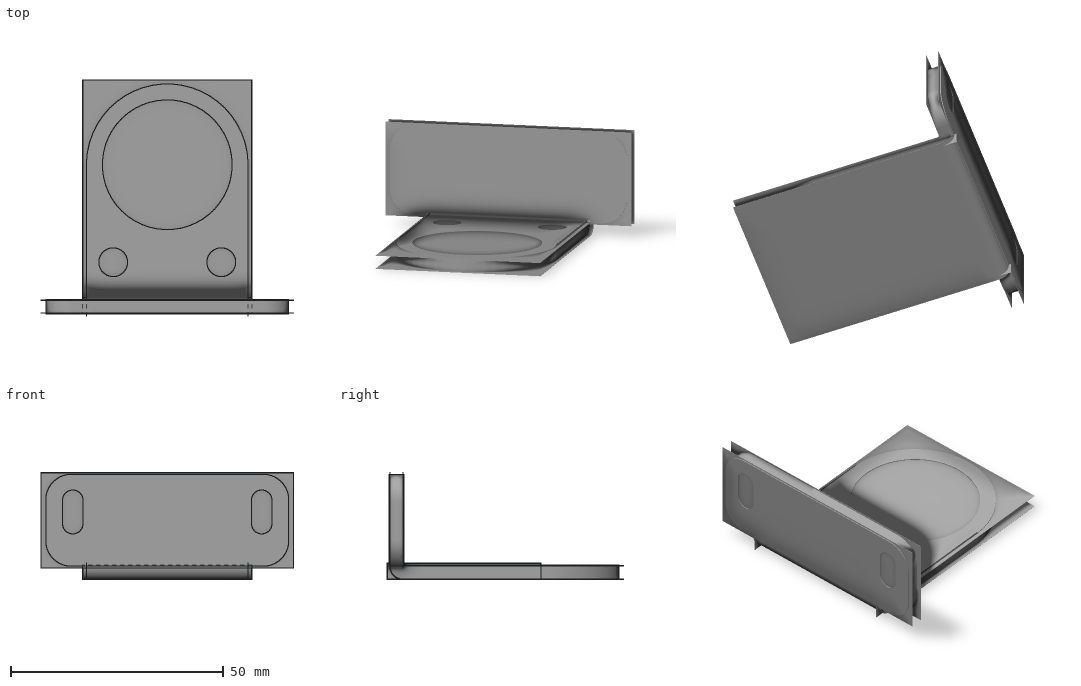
import cadquery as cq

overall_width = 59.45
overall_depth = 55.6
overall_height = 25.15
sheet = 0.05
proud = 0.2

upright_front = 0.5
upright_back = 3.9
upright_width = 57.2
upright_height = 21.65
upright_corner = 6.0
upright_skin_height = 22.45
upright_middle = overall_height - upright_skin_height / 2
slot_width = 4.8
slot_height = 10.35
slot_offset = 22.25
slot_middle = 15.9

arm_skin_width = 39.8
arm_skin_top = 3.2
arm_radius = 19.0
arm_center_y = 35.6
arm_top = arm_skin_top + proud
outer_bend = 3.0
inner_bend = 0.5
disc_radius = 15.3
magnet_radius = 3.4
magnet_offset = 12.7
magnet_y = 12.65

fin_length = 36.2
fin_height = 3.8

skin_front = upright_front + proud
skin_back = upright_back - proud


def block(width, y_min, y_max, z_min, z_max):
    """Box centred on X = 0."""
    size = (width, y_max - y_min, z_max - z_min)
    return cq.Workplane("XY").box(*size, centered=(True, False, False)).translate((0, y_min, z_min))


def upright_plate():
    plate = block(
        upright_width, upright_front, upright_back,
        upright_middle - upright_height / 2, upright_middle + upright_height / 2,
    ).edges("|Y").fillet(upright_corner)
    for y in (skin_front, skin_back - sheet):
        skin = block(overall_width, y, y + sheet, overall_height - upright_skin_height, overall_height)
        plate = plate.union(skin)
    slots = (
        cq.Workplane("XZ", origin=(0, skin_front, 0))
        .pushPoints([(-slot_offset, slot_middle), (slot_offset, slot_middle)])
        .slot2D(slot_height, slot_width, 90)
        .extrude(proud)
    )
    return plate.cut(slots)


def arm():
    body = block(2 * arm_radius, skin_front, arm_center_y, 0, arm_skin_top)
    round_end = cq.Workplane("XY").center(0, arm_center_y).circle(arm_radius).extrude(arm_top)
    rear_body = block(2 * arm_radius, skin_back, arm_center_y, 0, arm_top)
    body = body.union(rear_body).union(round_end)
    for z in (0, arm_skin_top - sheet):
        body = body.union(block(arm_skin_width, skin_front, overall_depth, z, z + sheet))
    recesses = (
        cq.Workplane("XY", origin=(0, 0, arm_skin_top))
        .center(0, arm_center_y).circle(disc_radius).extrude(proud)
    )
    for x in (-magnet_offset, magnet_offset):
        magnet = cq.Workplane("XY", origin=(x, magnet_y, arm_skin_top)).circle(magnet_radius).extrude(proud)
        recesses = recesses.union(magnet)
    return body.cut(recesses)


def bend_block(width, inset):
    """Corner block with a rounded lower front edge, inset from the outer surface."""
    corner = block(width, skin_front + inset, upright_back, inset, arm_top)
    return corner.faces("<Y").edges("<Z").fillet(outer_bend - inset)


def bend():
    """Rounded corner, its wider curved skin and the small inner fillet at the upright."""
    core = bend_block(2 * arm_radius, 0)
    skin = bend_block(arm_skin_width, 0).cut(bend_block(arm_skin_width, sheet))
    inner = (
        cq.Workplane("YZ", origin=(-arm_skin_width / 2, 0, 0))
        .moveTo(upright_back, arm_top)
        .lineTo(upright_back + inner_bend, arm_top)
        .radiusArc((upright_back, arm_top + inner_bend), inner_bend)
        .close()
        .extrude(arm_skin_width)
    )
    return core.union(skin).union(inner)


def rounded_arm():
    """Arm with its lower front edge replaced by the outer bend."""
    bend_box = block(arm_skin_width, skin_front, skin_front + outer_bend, 0, outer_bend)
    return arm().cut(bend_box).union(bend())


def side_fins():
    fin = block(sheet, 0, fin_length, 0, fin_height)
    offset = arm_radius - sheet / 2
    return fin.translate((-offset, 0, 0)).union(fin.translate((offset, 0, 0)))


result = upright_plate().union(rounded_arm()).union(side_fins())